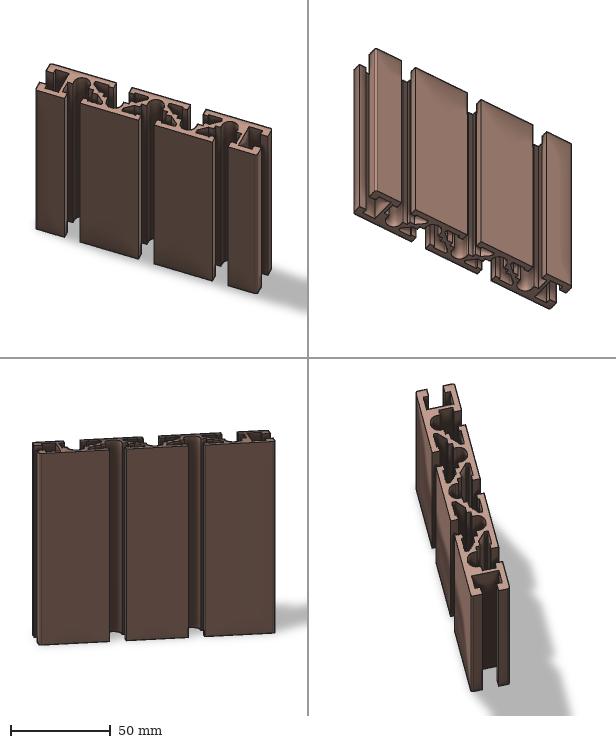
import cadquery as cq

width = 120.0
thickness = width / 6
length = width * 5 / 6
corner_radius = 1.2

pitch = width / 3
front_slot_centers = [-pitch, 0, pitch]
back_slot_centers = [-pitch / 2, pitch / 2]

wall = 3.0
slot_half_width = 8.4 / 2
half_thickness = thickness / 2
inner_face = half_thickness - wall

lip_depth = 4.0
cavity_half_width = 7.0
ledge = 1.1
undercut_half_width = 14.4
undercut_end_height = 5.0
undercut_radius = 0.7
web_start = 10.0

channel_lip = 4.1
channel_depth = 11.3

round_center = inner_face - slot_half_width


def cut_prism(outline):
    """Extrude a closed outline through the full length."""
    return outline.close().extrude(length)


def mouth(center):
    """Straight front slot whose far end is a half round."""
    return cut_prism(
        cq.Workplane("XY")
        .moveTo(center - slot_half_width, -half_thickness)
        .lineTo(center + slot_half_width, -half_thickness)
        .lineTo(center + slot_half_width, round_center)
        .threePointArc((center, inner_face), (center - slot_half_width, round_center))
    )


def plain_side(center, side):
    """Rectangular cavity on one side of a front slot, next to an end channel."""
    lip_top = -half_thickness + lip_depth
    return cut_prism(
        cq.Workplane("XY")
        .moveTo(center, lip_top)
        .lineTo(center + side * cavity_half_width, lip_top)
        .lineTo(center + side * cavity_half_width, ledge)
        .lineTo(center, ledge)
    )


def undercut_side(center, side):
    """Cavity on one side of a front slot that reaches under the diagonal web."""
    lip_top = -half_thickness + lip_depth
    outline = [
        (0, lip_top),
        (cavity_half_width, lip_top),
        (cavity_half_width, -inner_face),
        (undercut_half_width, -inner_face),
        (undercut_half_width, -undercut_end_height),
        (web_start, -ledge),
        (cavity_half_width, -ledge),
        (cavity_half_width, ledge),
        (0, ledge),
    ]
    points = [(center + side * x, y) for x, y in outline]
    cavity = cut_prism(cq.Workplane("XY").polyline(points))
    far_side = ">X" if side > 0 else "<X"
    return cavity.faces(far_side).edges("|Z").fillet(undercut_radius)


def front_slot(center):
    """Front slot, with a plain cavity on any side that faces an end channel."""
    slot = mouth(center)
    for side in (-1, 1):
        faces_channel = side * center == pitch
        cavity = plain_side if faces_channel else undercut_side
        slot = slot.union(cavity(center, side))
    return slot


def back_slot(center):
    """A front slot turned half a turn about Z, with both sides undercut."""
    slot = mouth(-center)
    for side in (-1, 1):
        slot = slot.union(undercut_side(-center, side))
    return slot.rotate((0, 0, 0), (0, 0, 1), 180)


def end_channel(side):
    """Lipped channel in one narrow side."""
    edge = width / 2
    outline = [
        (edge, -slot_half_width),
        (edge, slot_half_width),
        (edge - channel_lip, slot_half_width),
        (edge - channel_lip, inner_face),
        (edge - channel_depth, inner_face),
        (edge - channel_depth, -inner_face),
        (edge - channel_lip, -inner_face),
        (edge - channel_lip, -slot_half_width),
    ]
    return cut_prism(cq.Workplane("XY").polyline([(side * x, y) for x, y in outline]))


body = cq.Workplane("XY").box(width, thickness, length, centered=(True, True, False))
body = body.edges("|Z").fillet(corner_radius)

for slot_center in front_slot_centers:
    body = body.cut(front_slot(slot_center))
for slot_center in back_slot_centers:
    body = body.cut(back_slot(slot_center))
for channel_side in (-1, 1):
    body = body.cut(end_channel(channel_side))

result = body.translate((0, 0, -length / 2))